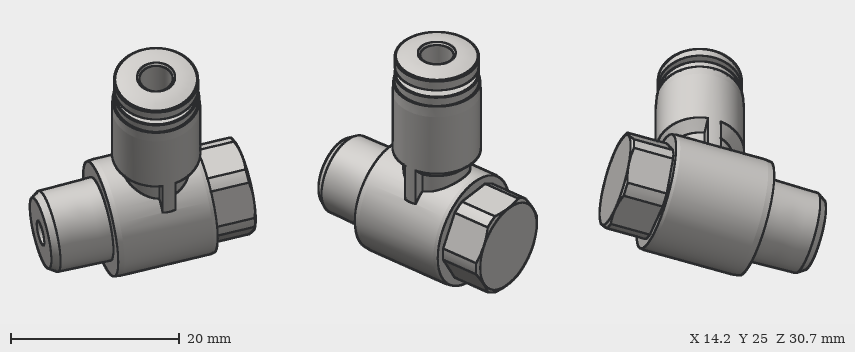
import cadquery as cq
import math


barrel_dia = 14.2
barrel_end_dia = 14.03
barrel_front = -6.88
barrel_back = 5.45
front_taper_length = 0.77
back_taper_length = 0.52

hex_across_flats = 11.1
hex_corner_dia = 12.0
head_end = 10.65
head_chamfer_dia = 11.05
head_chamfer_angle = 30

spigot_base_dia = 10.2
spigot_tip_dia = 9.9
spigot_end = -14.35
spigot_chamfer_length = 0.95
spigot_end_dia = 8.65

port_stem_dia = 7.95
port_body_dia = 10.5
port_body_bottom = 9.73
port_cone_height = (port_body_dia - port_stem_dia) / 2
port_taper_bottom = 17.95
port_taper_top = 19.45
port_taper_top_dia = 10.3
collar_dia = 10.0
collar_top = 20.75
collar_chamfer = 0.1

neck_dia = 5.95
neck_flare_bottom = 21.4
neck_flare_dia = 6.4
button_dia = 10.0
button_bottom = 21.75
button_rim_top = 23.02
button_rim_chamfer = 0.15
dome_bottom = button_rim_top + button_rim_chamfer
dome_radius = 8.6
overall_height = 30.7
port_top = overall_height - barrel_dia / 2

rib_width = 1.6

bore_dia = 3.0
tube_dia = 3.95
tube_seat = port_body_bottom
mouth_chamfer = 0.28


def revolve_about_y(profile):
    """Turn (radius, y) points about the barrel axis."""
    start, end = profile[0][1], profile[-1][1]
    points = [(0, start)] + profile + [(0, end)]
    return cq.Workplane("XY").polyline(points).close().revolve(360, (0, 0), (0, 1))


def make_barrel():
    return revolve_about_y([
        (barrel_end_dia / 2, barrel_front),
        (barrel_dia / 2, barrel_front + front_taper_length),
        (barrel_dia / 2, barrel_back - back_taper_length),
        (barrel_end_dia / 2, barrel_back),
    ])


def make_head():
    hexagon = (
        cq.Workplane("XZ")
        .polygon(6, hex_across_flats / math.cos(math.pi / 6))
        .extrude(-head_end)
    )
    chamfer_width = (hex_corner_dia - head_chamfer_dia) / 2
    chamfer_length = chamfer_width * math.tan(math.radians(head_chamfer_angle))
    turned_limit = revolve_about_y([
        (hex_corner_dia / 2, 0),
        (hex_corner_dia / 2, head_end - chamfer_length),
        (head_chamfer_dia / 2, head_end),
    ])
    return hexagon.intersect(turned_limit)


def make_spigot():
    return revolve_about_y([
        (spigot_end_dia / 2, spigot_end),
        (spigot_tip_dia / 2, spigot_end + spigot_chamfer_length),
        (spigot_base_dia / 2, barrel_front),
        (spigot_base_dia / 2, 0),
    ])


def make_port():
    dome_edge = button_dia / 2 - button_rim_chamfer
    mouth_radius = tube_dia / 2 + mouth_chamfer
    run = dome_edge - mouth_radius
    rise = port_top - dome_bottom
    chord = math.hypot(run, rise)
    bulge = dome_radius - math.sqrt(dome_radius**2 - (chord / 2) ** 2)
    dome_middle = (
        (dome_edge + mouth_radius) / 2 + bulge * rise / chord,
        (dome_bottom + port_top) / 2 + bulge * run / chord,
    )
    return (
        cq.Workplane("XZ")
        .moveTo(0, 0)
        .lineTo(port_stem_dia / 2, 0)
        .lineTo(port_stem_dia / 2, port_body_bottom - port_cone_height)
        .lineTo(port_body_dia / 2, port_body_bottom)
        .lineTo(port_body_dia / 2, port_taper_bottom)
        .lineTo(port_taper_top_dia / 2, port_taper_top)
        .lineTo(collar_dia / 2, port_taper_top)
        .lineTo(collar_dia / 2, collar_top - collar_chamfer)
        .lineTo(collar_dia / 2 - collar_chamfer, collar_top)
        .lineTo(neck_dia / 2, collar_top)
        .lineTo(neck_dia / 2, neck_flare_bottom)
        .lineTo(neck_flare_dia / 2, button_bottom)
        .lineTo(button_dia / 2, button_bottom)
        .lineTo(button_dia / 2, button_rim_top)
        .lineTo(dome_edge, dome_bottom)
        .threePointArc(dome_middle, (mouth_radius, port_top))
        .lineTo(0, port_top)
        .close()
        .revolve(360, (0, 0), (0, 1))
    )


def make_ribs():
    return cq.Workplane("XY").rect(port_body_dia, rib_width).extrude(port_body_bottom).intersect(
        cq.Workplane("XY").circle(port_body_dia / 2).extrude(port_body_bottom)
    )


def make_passage():
    elbow = cq.Workplane("XY").sphere(bore_dia / 2)
    spigot_bore = cq.Workplane("XZ").circle(bore_dia / 2).extrude(-spigot_end)
    port_bore = cq.Workplane("XY").circle(bore_dia / 2).extrude(port_top)
    tube_socket = (
        cq.Workplane("XY")
        .workplane(offset=tube_seat)
        .circle(tube_dia / 2)
        .extrude(port_top - tube_seat)
    )
    mouth = cq.Workplane("XY").add(cq.Solid.makeCone(
        tube_dia / 2,
        tube_dia / 2 + mouth_chamfer,
        mouth_chamfer,
        pnt=cq.Vector(0, 0, port_top - mouth_chamfer),
    ))
    return elbow.union(spigot_bore).union(port_bore).union(tube_socket).union(mouth)


body = make_barrel().union(make_head()).union(make_spigot()).union(make_port()).union(make_ribs())
result = body.cut(make_passage())